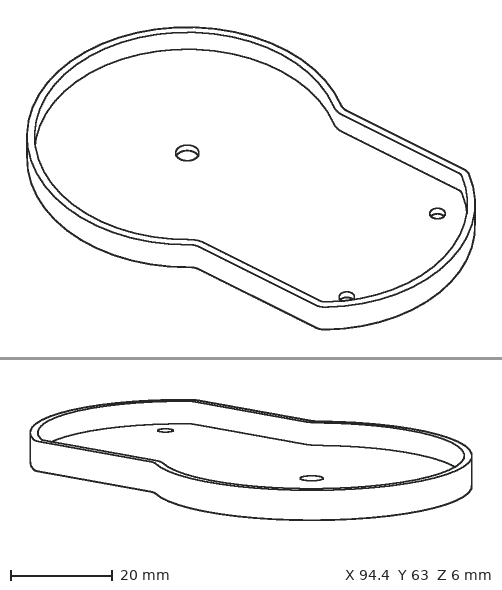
import cadquery as cq
import math

length = 94.4
width = 63.0
height = 6.0
wall = 1.5
floor = 1.5

round_radius = width / 2
neck_half_width = 24.4
end_radius = 30.0
blend_radius = 3.0
end_center_x = length - round_radius - end_radius

pivot_diameter = 4.5
screw_diameter = 3.0
screw_x = 49.9
screw_spacing = 30.0


def polar(center, radius, angle):
    """Return the point at an angle on a circle."""
    return (center[0] + radius * math.cos(angle), center[1] + radius * math.sin(angle))


def mirrored(point):
    """Return the point reflected across the X axis."""
    return (point[0], -point[1])


def tray_outline():
    """Return the closed outer outline, symmetric about the X axis."""
    blend_y = neck_half_width + blend_radius
    blend_angle = math.asin(blend_y / (round_radius + blend_radius))
    blend_center = polar((0, 0), round_radius + blend_radius, blend_angle)
    blend_start = polar((0, 0), round_radius, blend_angle)
    neck_start = (blend_center[0], neck_half_width)
    blend_mid = polar(blend_center, blend_radius, (blend_angle - math.pi - math.pi / 2) / 2)

    corner_y = neck_half_width - blend_radius
    corner_angle = math.asin(corner_y / (end_radius - blend_radius))
    corner_center = polar((end_center_x, 0), end_radius - blend_radius, corner_angle)
    neck_end = (corner_center[0], neck_half_width)
    corner_mid = polar(corner_center, blend_radius, (corner_angle + math.pi / 2) / 2)
    corner_end = polar((end_center_x, 0), end_radius, corner_angle)

    return (
        cq.Workplane("XY")
        .moveTo(*mirrored(blend_start))
        .threePointArc((-round_radius, 0), blend_start)
        .threePointArc(blend_mid, neck_start)
        .lineTo(*neck_end)
        .threePointArc(corner_mid, corner_end)
        .threePointArc((end_center_x + end_radius, 0), mirrored(corner_end))
        .threePointArc(mirrored(corner_mid), mirrored(neck_end))
        .lineTo(*mirrored(neck_start))
        .threePointArc(mirrored(blend_mid), mirrored(blend_start))
        .close()
    )


body = tray_outline().extrude(height)
pocket = tray_outline().offset2D(-wall).extrude(height).translate((0, 0, floor))
tray = body.cut(pocket)

pivot_hole = cq.Workplane("XY").circle(pivot_diameter / 2).extrude(height)
screw_points = [(screw_x, side * screw_spacing / 2) for side in (-1, 1)]
screw_holes = cq.Workplane("XY").pushPoints(screw_points).circle(screw_diameter / 2).extrude(height)

result = tray.cut(pivot_hole).cut(screw_holes)